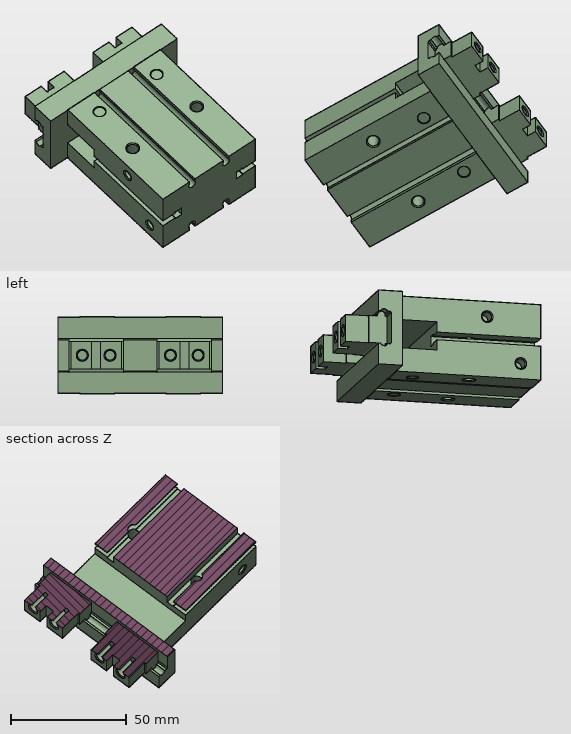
import cadquery as cq


total_length = 88.1
plate_front = 13.2
plate_thickness = 10.7
plate_back = plate_front + plate_thickness
plate_width = 71.0
plate_height = 32.9
body_length = total_length - plate_back
body_width = 51.9
body_height = 33.5

window_length = 17.9
window_height = 12.5
window_end = plate_back + window_length

groove_offset = 9.5
groove_neck_width = 3.1
groove_neck_depth = 2.8
groove_radius = 1.85
center_strip_width = 2 * groove_offset - groove_neck_width
center_strip_drop = 0.35

side_slot_height = 3.4
side_slot_depth = 7.05
side_cavity_height = 4.4
side_cavity_depth = 3.5

mount_hole_x = 58.15
mount_hole_spacing = 35.95
mount_hole_diameter = 5.0
mount_hole_mouth = 6.0

dimple_x = 33.5
dimple_spacing = 32.1
dimple_mouth = 5.6
dimple_floor = 5.1
dimple_depth = 0.3

port_x_positions = (64.1, total_length - 9.0)
port_z = 9.95
port_depth = 7.05
bleed_diameter = 0.5
bleed_depth = 1.8

thread_diameter = 4.2
thread_mouth = 5.2

channel_height = 14.45
channel_back = 18.85
channel_corner_chamfer = 0.5
bead_radius = 1.7
bead_x = 15.7
bead_z = 6.5

jaw_spacing = 38.1
jaw_height = 12.0
jaw_back = 18.15
jaw_tip_length = 10.1
jaw_tip_width = 21.85
jaw_base_width = 23.6
jaw_slot_width = 4.0
jaw_slot_depth = 4.05
jaw_hole_spacing = 12.0
jaw_hole_depth = 8.8
bead_foot_radius = bead_z - jaw_height / 2


def box(x_start, x_end, width, height):
    """Box between two X positions, centred on Y and Z."""
    return cq.Workplane("XY").box(x_end - x_start, width, height).translate(((x_start + x_end) / 2, 0, 0))


def chamfered_hole(point, direction, diameter, mouth, depth):
    """Cutting tool: a hole entering at a point, with a 45 degree chamfer at its mouth."""
    chamfer = (mouth - diameter) / 2
    bore = cq.Solid.makeCylinder(diameter / 2, depth, point, direction)
    cone = cq.Solid.makeCone(mouth / 2, diameter / 2, chamfer, point, direction)
    return bore.fuse(cone)


def beads(width):
    """Two round bars along Y, one above and one below the middle."""
    bars = cq.Workplane("XZ").pushPoints([(bead_x, bead_z), (bead_x, -bead_z)])
    return bars.circle(bead_radius).extrude(width / 2, both=True)


def rail_plate():
    plate = box(plate_front, plate_back, plate_width, plate_height)
    channel = box(plate_front, channel_back, plate_width, channel_height)
    channel = channel.edges(">X and |Y").chamfer(channel_corner_chamfer)
    return plate.cut(channel).cut(beads(plate_width))


def sensor_groove(y_center, side):
    """Cutting tool for one groove; side is 1 on the top face and -1 on the bottom face."""
    floor_z = side * (body_height / 2 - groove_neck_depth)
    neck_z = side * (body_height - groove_neck_depth) / 2
    start = cq.Workplane("YZ", origin=(plate_back, 0, 0))
    neck = start.center(y_center, neck_z).rect(groove_neck_width, groove_neck_depth).extrude(body_length)
    round_bottom = start.center(y_center, floor_z).circle(groove_radius).extrude(body_length)
    return neck.union(round_bottom)


def cut_top_and_bottom(block):
    for side in (1, -1):
        face_z = side * body_height / 2
        inward = cq.Vector(0, 0, -side)
        strip_z = face_z - side * center_strip_drop / 2
        strip = box(plate_back, total_length, center_strip_width, center_strip_drop)
        block = block.cut(strip.translate((0, 0, strip_z)))
        for hand in (1, -1):
            block = block.cut(sensor_groove(hand * groove_offset, side))
            hole_point = cq.Vector(mount_hole_x, hand * mount_hole_spacing / 2, face_z)
            block = block.cut(cq.Workplane(chamfered_hole(
                hole_point, inward, mount_hole_diameter, mount_hole_mouth, body_height / 2)))
            dimple_point = cq.Vector(dimple_x, hand * dimple_spacing / 2, face_z)
            dimple = cq.Solid.makeCone(dimple_mouth / 2, dimple_floor / 2, dimple_depth, dimple_point, inward)
            block = block.cut(cq.Workplane(dimple))
    return block


def cut_side_slots(block):
    slot_width = side_slot_depth + side_cavity_depth
    slot_y = (body_width - slot_width) / 2
    cavity_y = body_width / 2 - side_slot_depth - side_cavity_depth / 2
    slot = box(window_end, total_length, slot_width, side_slot_height)
    cavity = box(window_end, total_length, side_cavity_depth, side_cavity_height)
    for hand in (1, -1):
        block = block.cut(slot.translate((0, hand * slot_y, 0)))
        block = block.cut(cavity.translate((0, hand * cavity_y, 0)))
    return block


def cut_ports(block):
    inward = cq.Vector(0, 1, 0)
    for x, z in zip(port_x_positions, (port_z, -port_z)):
        mouth_point = cq.Vector(x, -body_width / 2, z)
        floor_point = mouth_point + inward * port_depth
        port = chamfered_hole(mouth_point, inward, thread_diameter, thread_mouth, port_depth)
        bleed = cq.Solid.makeCylinder(bleed_diameter / 2, bleed_depth, floor_point, inward)
        block = block.cut(cq.Workplane(port)).cut(cq.Workplane(bleed))
    return block


def make_housing():
    block = box(plate_back, total_length, body_width, body_height)
    block = block.cut(box(plate_back, window_end, body_width, window_height))
    block = cut_top_and_bottom(block)
    block = cut_side_slots(block)
    block = cut_ports(block)
    return block.union(rail_plate())


def jaw_bead(side):
    """Half-round bead along Y on a waist that flares into the flat face; side is 1 above and -1 below."""
    face_z = side * jaw_height / 2
    waist_z = side * bead_z
    waist_start = bead_x - bead_radius
    waist_end = bead_x + bead_radius
    outline = (
        cq.Workplane("XZ")
        .moveTo(waist_start - bead_foot_radius, face_z)
        .radiusArc((waist_start, waist_z), -side * bead_foot_radius)
        .threePointArc((bead_x, waist_z + side * bead_radius), (waist_end, waist_z))
        .radiusArc((waist_end + bead_foot_radius, face_z), -side * bead_foot_radius)
        .close()
    )
    return outline.extrude(jaw_base_width / 2, both=True)


def make_jaw(y_center):
    tip = box(0, jaw_tip_length, jaw_tip_width, jaw_height)
    base = box(jaw_tip_length, jaw_back, jaw_base_width, jaw_height)
    jaw = tip.union(base).union(jaw_bead(1)).union(jaw_bead(-1))
    jaw = jaw.cut(box(0, jaw_slot_depth, jaw_slot_width, jaw_height))
    for hand in (1, -1):
        point = cq.Vector(0, hand * jaw_hole_spacing / 2, 0)
        hole = chamfered_hole(point, cq.Vector(1, 0, 0), thread_diameter, thread_mouth, jaw_hole_depth)
        jaw = jaw.cut(cq.Workplane(hole))
    return jaw.translate((0, y_center, 0))


housing = make_housing()
jaws = [make_jaw(hand * jaw_spacing / 2).val() for hand in (1, -1)]
result = cq.Compound.makeCompound([housing.val(), *jaws])